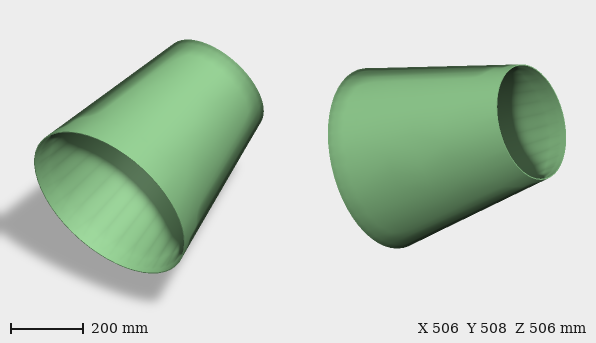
import cadquery as cq

length = 508.0
large_diameter = 506.0
small_diameter = 324.0
wall = 3.0

large_radius = large_diameter / 2
small_radius = small_diameter / 2
front_y = -length / 2
back_y = length / 2

wall_section = (
    cq.Workplane("XY")
    .moveTo(large_radius - wall, front_y)
    .lineTo(large_radius, front_y)
    .lineTo(small_radius, back_y)
    .lineTo(small_radius - wall, back_y)
    .close()
)

result = wall_section.revolve(360, (0, 0, 0), (0, 1, 0))